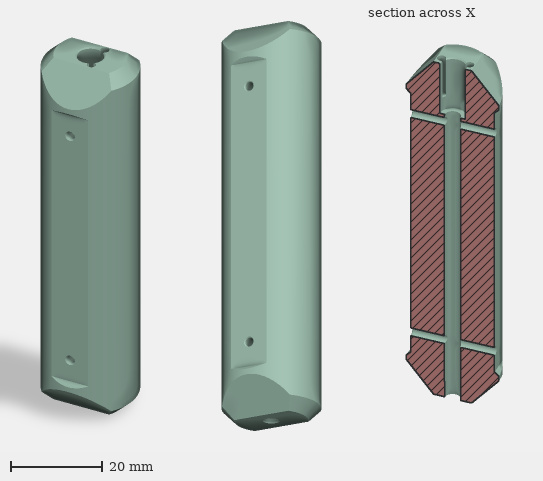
import cadquery as cq
import math

LENGTH = 90.0
BODY_DIAMETER = 22.0
BODY_RADIUS = BODY_DIAMETER / 2
HALF_LENGTH = LENGTH / 2
END_CHAMFER = 2.8

END_FACE_WIDTH = 9.0
SLANT_ANGLE = 40.0

RECESS_WIDTH = 9.0
RECESS_DEPTH = 1.0
RECESS_END_MARGIN = 10.0

CROSS_HOLE_DIAMETER = 2.0
CROSS_HOLE_END_DISTANCE = 15.5
CROSS_HOLE_CHAMFER = 0.225

BORE_DIAMETER = 3.7
SOCKET_DIAMETER = 6.0
SOCKET_DEPTH = 13.5
SOCKET_CHAMFER = 0.3

KEYHOLE_DIAMETER = 2.0
KEYHOLE_X = 1.9
KEYHOLE_Y = 3.3
KEYHOLE_DEPTH = 10.0


def make_body():
    bar = cq.Workplane("XY").circle(BODY_RADIUS).extrude(LENGTH)
    bar = bar.translate((0, 0, -HALF_LENGTH))
    return bar.faces("<Z or >Z").chamfer(END_CHAMFER)


def wedge_envelope():
    """Prism along X whose YZ outline carries the slanted flats of both ends."""
    half_face = END_FACE_WIDTH / 2
    slant_height = (BODY_RADIUS - half_face) / math.tan(math.radians(SLANT_ANGLE))
    shoulder = HALF_LENGTH - slant_height
    outline = [
        (half_face, HALF_LENGTH),
        (BODY_RADIUS, shoulder),
        (BODY_RADIUS, -shoulder),
        (half_face, -HALF_LENGTH),
        (-half_face, -HALF_LENGTH),
        (-BODY_RADIUS, -shoulder),
        (-BODY_RADIUS, shoulder),
        (-half_face, HALF_LENGTH),
    ]
    return cq.Workplane("YZ").polyline(outline).close().extrude(BODY_RADIUS, both=True)


def side_recess(side):
    """Recess on the +Y (side = 1) or -Y (side = -1) side, its ends sloping out at 45 degrees."""
    floor_y = BODY_RADIUS - RECESS_DEPTH
    floor_z = HALF_LENGTH - RECESS_END_MARGIN
    mouth_z = floor_z + RECESS_DEPTH
    outline = [
        (side * floor_y, -floor_z),
        (side * BODY_RADIUS, -mouth_z),
        (side * BODY_RADIUS, mouth_z),
        (side * floor_y, floor_z),
    ]
    return cq.Workplane("YZ").polyline(outline).close().extrude(RECESS_WIDTH / 2, both=True)


def chamfered_hole(plane, diameter, depth, chamfer):
    """Blind round hole sunk below the plane, with a 45 degree chamfer around its mouth."""
    radius = diameter / 2
    hole = cq.Workplane(plane).circle(radius).extrude(-depth)
    mouth = cq.Solid.makeCone(radius + chamfer, radius, chamfer, plane.origin, -plane.zDir)
    return hole.union(cq.Workplane(mouth))


def cross_hole(side, height):
    """One half of a cross hole, from a recess floor in to the bar axis."""
    floor_y = BODY_RADIUS - RECESS_DEPTH
    floor = cq.Plane(origin=(0, side * floor_y, height), xDir=(1, 0, 0), normal=(0, side, 0))
    return chamfered_hole(floor, CROSS_HOLE_DIAMETER, floor_y, CROSS_HOLE_CHAMFER)


def axial_bore():
    bore = cq.Workplane("XY").circle(BORE_DIAMETER / 2)
    return bore.extrude(HALF_LENGTH, both=True)


def socket():
    top = cq.Plane(origin=(0, 0, HALF_LENGTH))
    return chamfered_hole(top, SOCKET_DIAMETER, SOCKET_DEPTH, SOCKET_CHAMFER)


def keyholes():
    top_face = cq.Workplane("XY", origin=(0, 0, HALF_LENGTH))
    centers = [(KEYHOLE_X, KEYHOLE_Y), (KEYHOLE_X, -KEYHOLE_Y)]
    return top_face.pushPoints(centers).circle(KEYHOLE_DIAMETER / 2).extrude(-KEYHOLE_DEPTH)


cross_hole_height = HALF_LENGTH - CROSS_HOLE_END_DISTANCE

result = make_body().intersect(wedge_envelope())
for side in (-1, 1):
    result = result.cut(side_recess(side))
    for height in (-cross_hole_height, cross_hole_height):
        result = result.cut(cross_hole(side, height))
result = result.cut(axial_bore())
result = result.cut(socket())
result = result.cut(keyholes())